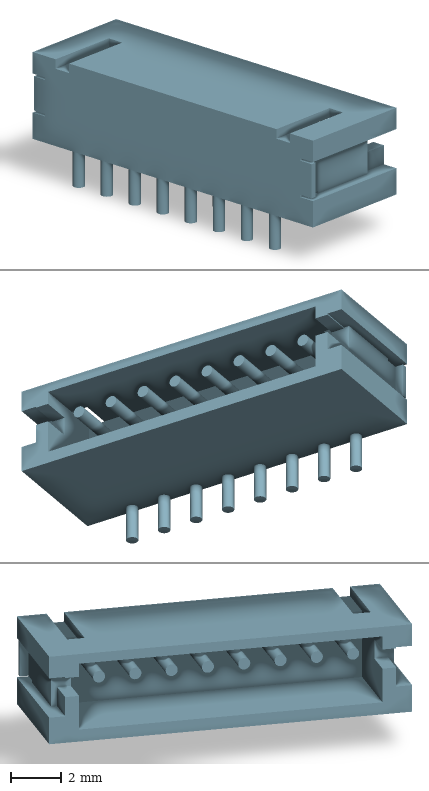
import cadquery as cq


length = 15.0
width = 5.0
height = 3.7

roof_thickness = 0.4
floor_thickness = 0.51
cavity_start = 1.88
end_wall = 1.23
cavity_length = length - 2 * end_wall

slot_width = 0.72
slot_reach = 3.18

recess_bottom = 1.12
recess_top = 2.79
recess_depth = 0.42
tab_thickness = 0.22
tab_setback = 0.06

groove_height = 0.1
groove_reach = 0.78
step_depth = 0.66
step_start = 3.74

window_bottom = 1.94
window_top = 2.75

pin_count = 8
pin_pitch = 1.5
pin_diameter = 0.5
leg_length = 1.5
contact_tip = 4.29
contact_height = 2.42


def box(x_range, y_range, z_range):
    """Box between the given limits along each axis."""
    (x0, x1), (y0, y1), (z0, z1) = x_range, y_range, z_range
    return cq.Workplane("XY").box(x1 - x0, y1 - y0, z1 - z0, centered=False).translate((x0, y0, z0))


def cut_both_ends(body, depth_range, y_range, z_range):
    """Cut a box from both ends; its depths are measured inwards from the end faces."""
    left_range = [depth - length / 2 for depth in depth_range]
    cutter = box(left_range, y_range, z_range)
    return body.cut(cutter).cut(cutter.mirror("YZ"))


def make_shell():
    """Housing with the mating cavity and the two roof slots."""
    half = length / 2
    body = box((-half, half), (0, width), (0, height))
    cavity_half = cavity_length / 2
    cavity_z = (floor_thickness, height - roof_thickness)
    body = body.cut(box((-cavity_half, cavity_half), (cavity_start, width), cavity_z))
    slot_depths = (end_wall, end_wall + slot_width)
    return cut_both_ends(body, slot_depths, (0, slot_reach), (height - roof_thickness, height))


def cut_end_recesses(body):
    """Stepped recess, tab grooves and window in both end walls."""
    recess_z = (recess_bottom, recess_top)
    body = cut_both_ends(body, (0, tab_setback), (0, tab_thickness), recess_z)
    body = cut_both_ends(body, (0, recess_depth), (tab_thickness, width), recess_z)
    body = cut_both_ends(body, (0, step_depth), (step_start, width), recess_z)
    for groove_bottom in (recess_bottom, recess_top - groove_height):
        groove_z = (groove_bottom, groove_bottom + groove_height)
        body = cut_both_ends(body, (0, step_depth), (0, groove_reach), groove_z)
    return cut_both_ends(body, (0, end_wall), (step_start, width), (window_bottom, window_top))


def make_pins():
    """Board legs below the body and contacts inside the cavity, in one row."""
    row = [(i - (pin_count - 1) / 2) * pin_pitch for i in range(pin_count)]
    leg_y = pin_diameter / 2
    legs = (
        cq.Workplane("XY")
        .pushPoints([(x, leg_y) for x in row])
        .circle(pin_diameter / 2)
        .extrude(-leg_length)
    )
    contacts = (
        cq.Workplane("XZ", origin=(0, cavity_start, 0))
        .pushPoints([(x, contact_height) for x in row])
        .circle(pin_diameter / 2)
        .extrude(cavity_start - contact_tip)
    )
    return legs, contacts


result = cut_end_recesses(make_shell())
for pin_row in make_pins():
    result = result.union(pin_row)